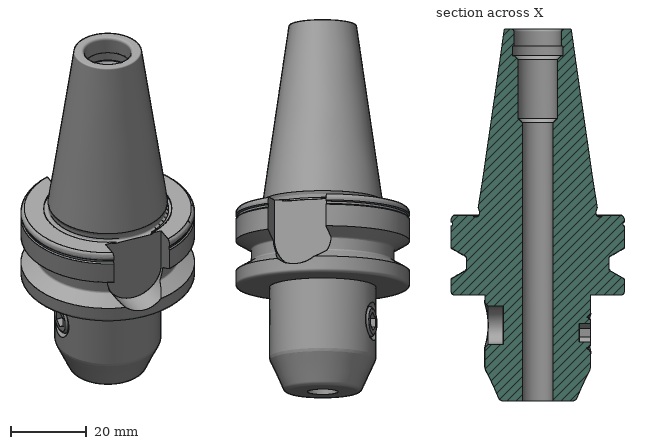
import cadquery as cq
import math

LENGTH = 98.4
MATCH_TOLERANCE = 0.001
CUT_CLEARANCE = 1.0

NOSE_RADIUS = 14.1
NOSE_CONE_TOP_Z = 8.8
NOSE_TIP_RADIUS = 10.0
NOSE_EDGE_FILLET = 1.5
NOSE_SHOULDER_FILLET = 2.0

FLANGE_DIAMETER = 46.0
FLANGE_RADIUS = FLANGE_DIAMETER / 2
FLANGE_BOTTOM_Z = 28.0
FLANGE_TOP_Z = 49.2
FLANGE_BOTTOM_FILLET = 0.9
FLANGE_TOP_ROUND_RADIUS = 1.5
FLANGE_TOP_ROUND_INSET = 0.9
GROOVE_RADIUS = 18.9
GROOVE_CENTER_Z = 36.4
GROOVE_FLOOR_WIDTH = 3.4
GROOVE_FLANK_ANGLE = 30.0
GROOVE_FILLET = 0.5
MARK_GROOVE_TOP_Z = 47.4
MARK_GROOVE_WIDTH = 1.2
MARK_GROOVE_SIDE_HEIGHT = 0.3
MARK_GROOVE_DEPTH = 0.4

TAPER_RATIO = 7 / 24
GAUGE_RADIUS = 15.8
GAUGE_Z = 51.0
TAPER_BOTTOM_Z = 51.2
TAPER_TOP_FILLET = 0.4
NECK_RADIUS = 15.5
NECK_TOP_Z = 50.3
NECK_FILLET = 0.6
RECESS_RADIUS = 16.9
RECESS_DEPTH = 0.4

SLOT_WIDTH = 16.1
SLOT_BOTTOM_Z = 30.5
SLOT_FLOOR_X = 16.1

BORE_RADIUS = 4.0
PILOT_RADIUS = 6.2
PILOT_DEPTH = 4.5
PILOT_FILLET = 0.8
THREAD_RADIUS = 5.2
THREAD_BOTTOM_DEPTH = 23.6
RELIEF_RADIUS = 6.6
RELIEF_WIDTH = 2.6

SCREW_Z = 18.1
SCREW_RADIUS = 4.0
SCREW_FACE_RADIUS = 3.4
SCREW_FACE_Y = -14.0
SCREW_SEAT_RADIUS = 5.1
HEX_ACROSS_FLATS = 4.0
HEX_DEPTH = 3.0

BACK_HOLE_Z = 20.1
BACK_HOLE_RADIUS = 5.0
BACK_SEAT_RADIUS = 6.0
BACK_HOLE_DEPTH = 4.9


def taper_radius(z):
    return GAUGE_RADIUS - (z - GAUGE_Z) * TAPER_RATIO / 2


class RingSelector(cq.Selector):
    """Picks the circular edges of a given radius at height z, centred on Z."""

    def __init__(self, radius, z):
        self.radius = radius
        self.z = z

    def filter(self, edges):
        return [
            edge
            for edge in edges
            if edge.geomType() == "CIRCLE"
            and math.isclose(edge.radius(), self.radius, abs_tol=MATCH_TOLERANCE)
            and math.isclose(edge.arcCenter().z, self.z, abs_tol=MATCH_TOLERANCE)
        ]


def make_body():
    """Revolve the outer outline about Z and round its edges."""
    flank_height = (FLANGE_RADIUS - GROOVE_RADIUS) * math.tan(math.radians(GROOVE_FLANK_ANGLE))
    groove_floor_bottom = GROOVE_CENTER_Z - GROOVE_FLOOR_WIDTH / 2
    groove_floor_top = GROOVE_CENTER_Z + GROOVE_FLOOR_WIDTH / 2
    recess_z = FLANGE_TOP_Z - RECESS_DEPTH
    mark_groove_bottom = MARK_GROOVE_TOP_Z - MARK_GROOVE_WIDTH
    mark_groove_radius = FLANGE_RADIUS - MARK_GROOVE_DEPTH
    fillet_start = (NECK_RADIUS + NECK_FILLET, recess_z)
    fillet_end = (NECK_RADIUS, recess_z + NECK_FILLET)
    fillet_bulge = NECK_FILLET * (1 - math.sqrt(0.5))
    fillet_middle = (NECK_RADIUS + fillet_bulge, recess_z + fillet_bulge)
    taper_top_radius = taper_radius(LENGTH)
    round_angle = math.acos(1 - FLANGE_TOP_ROUND_INSET / FLANGE_TOP_ROUND_RADIUS)
    round_height = FLANGE_TOP_ROUND_RADIUS * math.sin(round_angle)
    round_middle = (
        FLANGE_RADIUS - FLANGE_TOP_ROUND_RADIUS * (1 - math.cos(round_angle / 2)),
        FLANGE_TOP_Z - round_height + FLANGE_TOP_ROUND_RADIUS * math.sin(round_angle / 2),
    )
    round_end = (FLANGE_RADIUS - FLANGE_TOP_ROUND_INSET, FLANGE_TOP_Z)
    outline = (
        cq.Workplane("XZ")
        .moveTo(0, 0)
        .lineTo(NOSE_TIP_RADIUS, 0)
        .lineTo(NOSE_RADIUS, NOSE_CONE_TOP_Z)
        .lineTo(NOSE_RADIUS, FLANGE_BOTTOM_Z)
        .lineTo(FLANGE_RADIUS, FLANGE_BOTTOM_Z)
        .lineTo(FLANGE_RADIUS, groove_floor_bottom - flank_height)
        .lineTo(GROOVE_RADIUS, groove_floor_bottom)
        .lineTo(GROOVE_RADIUS, groove_floor_top)
        .lineTo(FLANGE_RADIUS, groove_floor_top + flank_height)
        .lineTo(FLANGE_RADIUS, mark_groove_bottom)
        .lineTo(mark_groove_radius, mark_groove_bottom + MARK_GROOVE_SIDE_HEIGHT)
        .lineTo(mark_groove_radius, MARK_GROOVE_TOP_Z - MARK_GROOVE_SIDE_HEIGHT)
        .lineTo(FLANGE_RADIUS, MARK_GROOVE_TOP_Z)
        .lineTo(FLANGE_RADIUS, FLANGE_TOP_Z - round_height)
        .threePointArc(round_middle, round_end)
        .lineTo(RECESS_RADIUS, FLANGE_TOP_Z)
        .lineTo(RECESS_RADIUS, recess_z)
        .lineTo(*fillet_start)
        .threePointArc(fillet_middle, fillet_end)
        .lineTo(NECK_RADIUS, NECK_TOP_Z)
        .lineTo(taper_radius(TAPER_BOTTOM_Z), TAPER_BOTTOM_Z)
        .lineTo(taper_top_radius, LENGTH)
        .lineTo(0, LENGTH)
        .close()
    )
    body = outline.revolve(360, (0, 0, 0), (0, 1, 0))
    rounded_edges = [
        (NOSE_TIP_RADIUS, 0, NOSE_EDGE_FILLET),
        (NOSE_RADIUS, NOSE_CONE_TOP_Z, NOSE_SHOULDER_FILLET),
        (FLANGE_RADIUS, FLANGE_BOTTOM_Z, FLANGE_BOTTOM_FILLET),
        (GROOVE_RADIUS, groove_floor_bottom, GROOVE_FILLET),
        (GROOVE_RADIUS, groove_floor_top, GROOVE_FILLET),
        (taper_top_radius, LENGTH, TAPER_TOP_FILLET),
    ]
    for radius, z, fillet_radius in rounded_edges:
        body = body.edges(RingSelector(radius, z)).fillet(fillet_radius)
    return body


def make_bore():
    """Through bore, widened from the top by a threaded length, a relief groove and a pilot."""
    pilot_bottom = LENGTH - PILOT_DEPTH
    relief_bottom = pilot_bottom - RELIEF_WIDTH
    thread_top = relief_bottom - (PILOT_RADIUS - THREAD_RADIUS)
    thread_bottom = LENGTH - THREAD_BOTTOM_DEPTH
    return (
        cq.Workplane("XZ")
        .moveTo(0, 0)
        .lineTo(BORE_RADIUS, 0)
        .lineTo(BORE_RADIUS, thread_bottom - (THREAD_RADIUS - BORE_RADIUS))
        .lineTo(THREAD_RADIUS, thread_bottom)
        .lineTo(THREAD_RADIUS, thread_top)
        .lineTo(PILOT_RADIUS, relief_bottom)
        .lineTo(RELIEF_RADIUS, relief_bottom)
        .lineTo(RELIEF_RADIUS, pilot_bottom)
        .lineTo(PILOT_RADIUS, pilot_bottom)
        .lineTo(PILOT_RADIUS, LENGTH)
        .lineTo(0, LENGTH)
        .close()
        .revolve(360, (0, 0, 0), (0, 1, 0))
    )


def make_drive_slot(side):
    """Round-bottomed keyway open at the top of the flange; side is +1 for +X and -1 for -X."""
    radius = SLOT_WIDTH / 2
    center_z = SLOT_BOTTOM_Z + radius
    depth = FLANGE_RADIUS - SLOT_FLOOR_X + CUT_CLEARANCE
    return (
        cq.Workplane("YZ", origin=(side * SLOT_FLOOR_X, 0, 0))
        .moveTo(-radius, FLANGE_TOP_Z)
        .lineTo(-radius, center_z)
        .threePointArc((0, SLOT_BOTTOM_Z), (radius, center_z))
        .lineTo(radius, FLANGE_TOP_Z)
        .close()
        .extrude(side * depth)
    )


def radial_turning(z, side, profile):
    """Revolve (radius, distance from the Z axis) points about a line along side * Y at height z."""
    points = [(radius, side * distance) for radius, distance in profile]
    return (
        cq.Workplane("XY", origin=(0, 0, z))
        .polyline(points)
        .close()
        .revolve(360, (0, 0, 0), (0, 1, 0))
    )


def make_countersunk_hole(z, side, hole_radius, seat_radius, bottom_distance):
    """Radial hole with a 45 degree seat that has seat_radius where it meets the nose crown."""
    seat_depth = seat_radius - hole_radius
    outer_distance = NOSE_RADIUS + CUT_CLEARANCE
    profile = [
        (0, bottom_distance),
        (hole_radius, bottom_distance),
        (hole_radius, NOSE_RADIUS - seat_depth),
        (seat_radius + CUT_CLEARANCE, outer_distance),
        (0, outer_distance),
    ]
    return radial_turning(z, side, profile)


def make_screw():
    """Chamfered set screw with a hexagon socket, ending at the bore."""
    face_distance = -SCREW_FACE_Y
    chamfer = SCREW_RADIUS - SCREW_FACE_RADIUS
    profile = [
        (0, BORE_RADIUS),
        (SCREW_RADIUS, BORE_RADIUS),
        (SCREW_RADIUS, face_distance - chamfer),
        (SCREW_FACE_RADIUS, face_distance),
        (0, face_distance),
    ]
    socket = (
        cq.Workplane("XZ", origin=(0, SCREW_FACE_Y, SCREW_Z))
        .transformed(rotate=(0, 0, 90))
        .polygon(6, HEX_ACROSS_FLATS / math.cos(math.pi / 6))
        .extrude(-HEX_DEPTH)
    )
    return radial_turning(SCREW_Z, -1, profile).cut(socket)


result = make_body()
result = result.cut(make_drive_slot(1)).cut(make_drive_slot(-1))
result = result.cut(
    make_countersunk_hole(SCREW_Z, -1, SCREW_RADIUS, SCREW_SEAT_RADIUS, BORE_RADIUS)
)
result = result.union(make_screw())
result = result.cut(
    make_countersunk_hole(
        BACK_HOLE_Z, 1, BACK_HOLE_RADIUS, BACK_SEAT_RADIUS, NOSE_RADIUS - BACK_HOLE_DEPTH
    )
)
result = result.cut(make_bore())
result = result.edges(RingSelector(PILOT_RADIUS, LENGTH)).fillet(PILOT_FILLET)